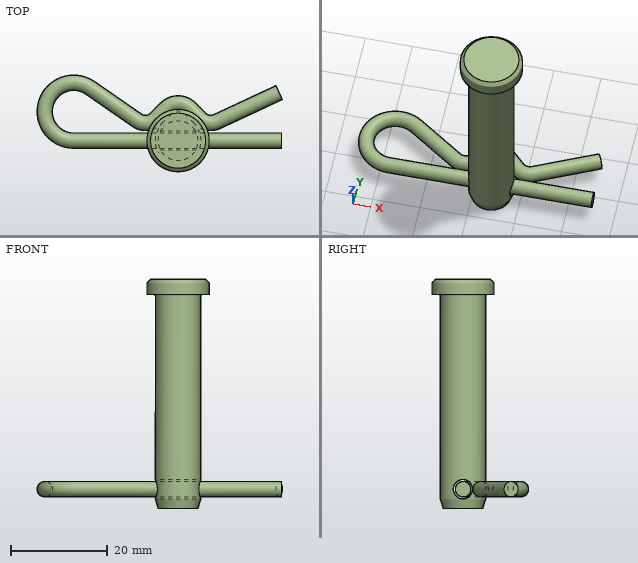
import cadquery as cq
import math

pin_length = 47.6
shaft_radius = 4.75
head_radius = 6.45
head_height = 3.2
head_chamfer = 0.75
head_edge_round = 0.25
neck_fillet = 0.25
tip_length = 2.0
tip_inset = 0.6

hole_diameter = 4.0
hole_height = 4.05

wire_diameter = 3.2
loop_radius = 6.0
loop_center_x = -21.65
straight_end_x = 21.5
hump_radius = 3.5
hump_center_y = 4.25
hump_angle = math.radians(45)
trough_radius = 3.0
trough_center_x = 6.8
tail_angle = math.radians(25)
tail_length = 14.25


def make_pin():
    """Headed pin with a tapered tip and a cross hole."""
    shaft = cq.Workplane("XY").circle(shaft_radius).extrude(pin_length)
    shaft = shaft.faces("<Z").edges().chamfer(tip_length, tip_inset)

    head_base = pin_length - head_height
    head = cq.Workplane("XY").workplane(offset=head_base).circle(head_radius).extrude(head_height)
    head = head.faces(">Z").chamfer(head_chamfer)
    head = head.edges(cq.selectors.BoxSelector(
        (-head_radius, -head_radius, head_base + head_height / 2),
        (head_radius, head_radius, pin_length - head_chamfer / 2),
    )).fillet(head_edge_round)

    neck = (
        cq.Workplane("XZ")
        .moveTo(0, head_base - neck_fillet)
        .lineTo(shaft_radius, head_base - neck_fillet)
        .radiusArc((shaft_radius + neck_fillet, head_base), neck_fillet)
        .lineTo(0, head_base)
        .close()
        .revolve(360, (0, 0, 0), (0, 1, 0))
    )
    hole = (
        cq.Workplane("YZ")
        .center(0, hole_height)
        .circle(hole_diameter / 2)
        .extrude(shaft_radius, both=True)
    )
    return shaft.union(neck).union(head).cut(hole)


def on_circle(center, radius, angle):
    """Point at an angle (from +X, counterclockwise) on a circle."""
    return (center[0] + radius * math.cos(angle), center[1] + radius * math.sin(angle))


def bend(path, center, radius, start, end):
    """Continue the wire path along an arc between two angles."""
    middle = on_circle(center, radius, (start + end) / 2)
    return path.threePointArc(middle, on_circle(center, radius, end))


def make_clip():
    """Wire clip: straight leg, end loop, and a sprung leg humped around the pin."""
    up = math.pi / 2
    down = -math.pi / 2
    loop = (loop_center_x, loop_radius)
    hump = (0, hump_center_y)

    trough_center_y = (
        hump_center_y
        + (hump_radius + trough_radius) / math.cos(hump_angle)
        - trough_center_x * math.tan(hump_angle)
    )
    left_trough = (-trough_center_x, trough_center_y)
    right_trough = (trough_center_x, trough_center_y)

    span_x = left_trough[0] - loop[0]
    span_y = left_trough[1] - loop[1]
    span_angle = math.atan2(span_y, span_x)
    slope = math.asin((loop_radius + trough_radius) / math.hypot(span_x, span_y)) - span_angle

    path = cq.Workplane("XY", origin=(0, 0, hole_height)).moveTo(straight_end_x, 0)
    path = path.lineTo(loop_center_x, 0)
    path = bend(path, loop, loop_radius, down, up - slope - 2 * math.pi)
    path = path.lineTo(*on_circle(left_trough, trough_radius, down - slope))
    path = bend(path, left_trough, trough_radius, down - slope, down + hump_angle)
    path = path.lineTo(*on_circle(hump, hump_radius, up + hump_angle))
    path = bend(path, hump, hump_radius, up + hump_angle, up - hump_angle)
    path = path.lineTo(*on_circle(right_trough, trough_radius, down - hump_angle))
    path = bend(path, right_trough, trough_radius, down - hump_angle, down + tail_angle)
    path = path.line(tail_length * math.cos(tail_angle), tail_length * math.sin(tail_angle))

    section = cq.Workplane("YZ", origin=(straight_end_x, 0, hole_height)).circle(wire_diameter / 2)
    return section.sweep(path)


pin = make_pin()
clip = make_clip()
result = cq.Compound.makeCompound([*pin.solids().vals(), clip.val()])